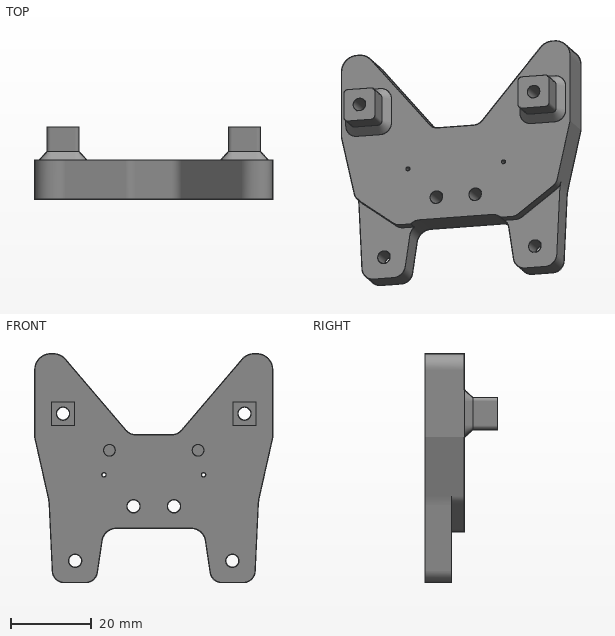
import cadquery as cq
import math

half_width = 29.5
height = 56.8
plate_depth = 9.8
leg_depth = 6.6
total_depth = 18.0

notch_corner = (5.95, 36.7)
horn_corner = (23.1, height)
side_top_z = 36.0
waist_corner = (26.0, 20.25)
foot_outer_x = 25.05
foot_inner_x = 14.35
arch_corner = (12.35, 13.45)

horn_radius = 4.0
notch_radius = 3.0
waist_radius = 12.0
foot_radius = 3.0
arch_radius = 3.55

ledge_z = 12.6
shoulder_slope = 36.0
shoulder_radius = 3.0
ledge_radius = 3.0
step_margin = 11.8

bolt_diameter = 3.2
pin_diameter = 2.9
pilot_diameter = 1.0
post_center = (22.5, 41.9)
leg_hole = (19.5, 5.45)
center_hole = (5.0, 18.95)
pin_hole = (11.0, 32.8)
pilot_hole = (12.35, 26.75)
pin_hole_depth = leg_depth

post_side = 8.0
post_corner_radius = 1.0
flare_depth = 2.05
flare_spread = 1.9
pocket_side = 5.8
pocket_depth = 2.5


def mirrored(points):
    """Mirror (x, z) points about x = 0, in reverse order so an outline can continue with them."""
    return [(-x, z) for x, z in reversed(points)]


def with_mirror(point):
    """A point on the right half together with its mirror image."""
    return [point] + mirrored([point])


def from_front(y):
    """Workplane parallel to the front face at depth y, with local axes along X and Z."""
    return cq.Workplane("XZ", origin=(0, y, 0))


def round_corners(body, points, radius):
    """Fillet the edges along Y that pass through the given (x, z) points."""
    reach = 0.05
    for x, z in points + mirrored(points):
        box = cq.selectors.BoxSelector(
            (x - reach, -total_depth, z - reach), (x + reach, total_depth, z + reach)
        )
        body = body.edges("|Y").edges(box).fillet(radius)
    return body


def slab(front_y, back_y):
    """Layer of the plate outline between two depths, every corner rounded except the waist."""
    right = [
        notch_corner,
        horn_corner,
        (half_width, height),
        (half_width, side_top_z),
        waist_corner,
        (foot_outer_x, 0),
        (foot_inner_x, 0),
        arch_corner,
    ]
    body = from_front(front_y).polyline(right + mirrored(right)).close().extrude(front_y - back_y)
    body = round_corners(body, [horn_corner, (half_width, height)], horn_radius)
    body = round_corners(body, [notch_corner], notch_radius)
    body = round_corners(body, [(foot_outer_x, 0), (foot_inner_x, 0)], foot_radius)
    return round_corners(body, [arch_corner], arch_radius)


def step_cutter():
    """Volume removed behind the legs: below a level ledge and, outside it, a sloping shoulder."""
    waist_x, waist_z = waist_corner
    rise = math.tan(math.radians(shoulder_slope))
    ledge_end = (waist_x - (waist_z - ledge_z) / rise, ledge_z)
    shoulder_end = (waist_x + step_margin, waist_z + step_margin * rise)
    right = [ledge_end, shoulder_end, (waist_x + step_margin, -step_margin)]
    cutter = from_front(leg_depth).polyline(right + mirrored(right)).close().extrude(leg_depth - plate_depth)
    return round_corners(cutter, [ledge_end], ledge_radius)


def plate():
    """Front layer with the full legs, and a back layer that stops above them."""
    front = round_corners(slab(0, leg_depth), [waist_corner], waist_radius)
    back = slab(leg_depth, plate_depth).cut(step_cutter())
    back = round_corners(back, [waist_corner], shoulder_radius)
    return front.union(back)


def post(center):
    """Square post with a flared foot standing on the back face."""
    section = cq.Sketch().rect(post_side, post_side).vertices().fillet(post_corner_radius)
    flare_y = plate_depth + flare_depth
    shaft = from_front(plate_depth).center(*center).placeSketch(section).extrude(plate_depth - total_depth)
    taper = math.degrees(math.atan2(flare_spread, flare_depth))
    flare = from_front(flare_y).center(*center).placeSketch(section).extrude(flare_depth, taper=-taper)
    return shaft.union(flare)


def drill(body, point, diameter, depth):
    """Cut a round hole and its mirror image from the front face."""
    holes = from_front(0).pushPoints(with_mirror(point)).circle(diameter / 2)
    return body.cut(holes.extrude(-depth))


def front_pockets():
    """Square pockets in the front face, in line with the posts."""
    centers = with_mirror(post_center)
    return from_front(0).pushPoints(centers).rect(pocket_side, pocket_side).extrude(-pocket_depth)


result = plate()
for center in with_mirror(post_center):
    result = result.union(post(center))
for bolt_hole in (post_center, leg_hole, center_hole):
    result = drill(result, bolt_hole, bolt_diameter, total_depth)
result = drill(result, pilot_hole, pilot_diameter, plate_depth)
result = drill(result, pin_hole, pin_diameter, pin_hole_depth)
result = result.cut(front_pockets())